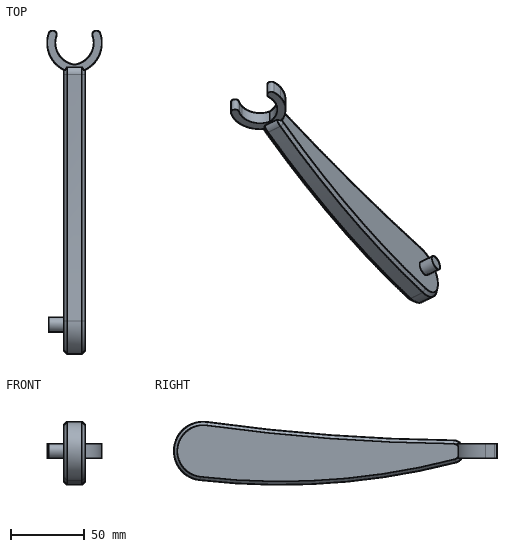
import cadquery as cq
import math

total_length = 220.2

handle_width = 15.0
edge_chamfer = 2.5
hub_radius = 20.0
handle_end = 176.8
end_corner_radius = 6.5
top_radius = 1321.3
top_tangent_angle = math.radians(7.9)
belly_y = 52.9
belly_depth = 23.1

pin_radius = 5.0
pin_end_x = -17.6

fork_height = 10.1
fork_outer_radius = 18.7
prong_thickness = 5.7
throat_inner_radius = 15.0
tip_angle = math.radians(20)


def on_circle(center, radius, angle):
    """Point on a circle, with the angle measured from the first axis."""
    return (
        center[0] + radius * math.cos(angle),
        center[1] + radius * math.sin(angle),
    )


def point_at(center, radius, y, side):
    """Point of a circle at a given Y, above (side=1) or below (side=-1) its centre."""
    return y, center[1] + side * math.sqrt(radius**2 - (y - center[0]) ** 2)


def make_handle():
    """Curved blade whose long edges run tangent into the round hub."""
    top_center = on_circle((0, 0), hub_radius + top_radius, math.pi / 2 - top_tangent_angle)
    top_tangent = on_circle((0, 0), hub_radius, math.pi / 2 - top_tangent_angle)
    belly_radius = (belly_y**2 + belly_depth**2 - hub_radius**2) / (2 * (belly_depth - hub_radius))
    belly_center = (belly_y, belly_radius - belly_depth)
    belly_tangent_angle = math.atan2(-belly_center[1], -belly_center[0])
    belly_tangent = on_circle((0, 0), hub_radius, belly_tangent_angle)

    middle_y = handle_end / 2
    blade = (
        cq.Workplane("YZ")
        .moveTo(*top_tangent)
        .threePointArc((-hub_radius, 0), belly_tangent)
        .threePointArc(
            point_at(belly_center, belly_radius, middle_y, -1),
            point_at(belly_center, belly_radius, handle_end, -1),
        )
        .lineTo(*point_at(top_center, top_radius, handle_end, -1))
        .threePointArc(point_at(top_center, top_radius, middle_y, -1), top_tangent)
        .close()
        .extrude(handle_width / 2, both=True)
    )
    blade = blade.edges("|X and >Y").fillet(end_corner_radius)
    return blade.faces("<X or >X").edges().chamfer(edge_chamfer)


def make_pin():
    """Round pin standing out of the -X side, rooted at the middle of the handle."""
    return cq.Workplane("YZ").circle(pin_radius).extrude(pin_end_x)


def make_fork():
    """Open clip: two mirrored prongs with round tips, meeting in a pointed throat."""
    inner_radius = fork_outer_radius - prong_thickness
    middle_radius = fork_outer_radius - prong_thickness / 2
    tip_reach = middle_radius * math.sin(tip_angle) + prong_thickness / 2
    fork_y = total_length - hub_radius - tip_reach
    center = (0, fork_y)

    throat_center = (inner_radius - throat_inner_radius, fork_y)
    throat_outer_radius = throat_inner_radius + prong_thickness
    inner_angle = -math.acos(-throat_center[0] / throat_inner_radius)
    outer_angle = -math.acos(-throat_center[0] / throat_outer_radius)

    tip_center = on_circle(center, middle_radius, tip_angle)
    tip_crown = on_circle(tip_center, prong_thickness / 2, tip_angle + math.pi / 2)
    prong = (
        cq.Workplane("XY")
        .workplane(offset=-fork_height / 2)
        .moveTo(*on_circle(throat_center, throat_outer_radius, outer_angle))
        .threePointArc(
            on_circle(throat_center, throat_outer_radius, outer_angle / 2),
            (fork_outer_radius, fork_y),
        )
        .threePointArc(
            on_circle(center, fork_outer_radius, tip_angle / 2),
            on_circle(center, fork_outer_radius, tip_angle),
        )
        .threePointArc(tip_crown, on_circle(center, inner_radius, tip_angle))
        .threePointArc(
            on_circle(center, inner_radius, tip_angle / 2),
            (inner_radius, fork_y),
        )
        .threePointArc(
            on_circle(throat_center, throat_inner_radius, inner_angle / 2),
            on_circle(throat_center, throat_inner_radius, inner_angle),
        )
        .close()
        .extrude(fork_height)
    )
    return prong.union(prong.mirror("YZ"))


result = make_handle().union(make_pin()).union(make_fork())